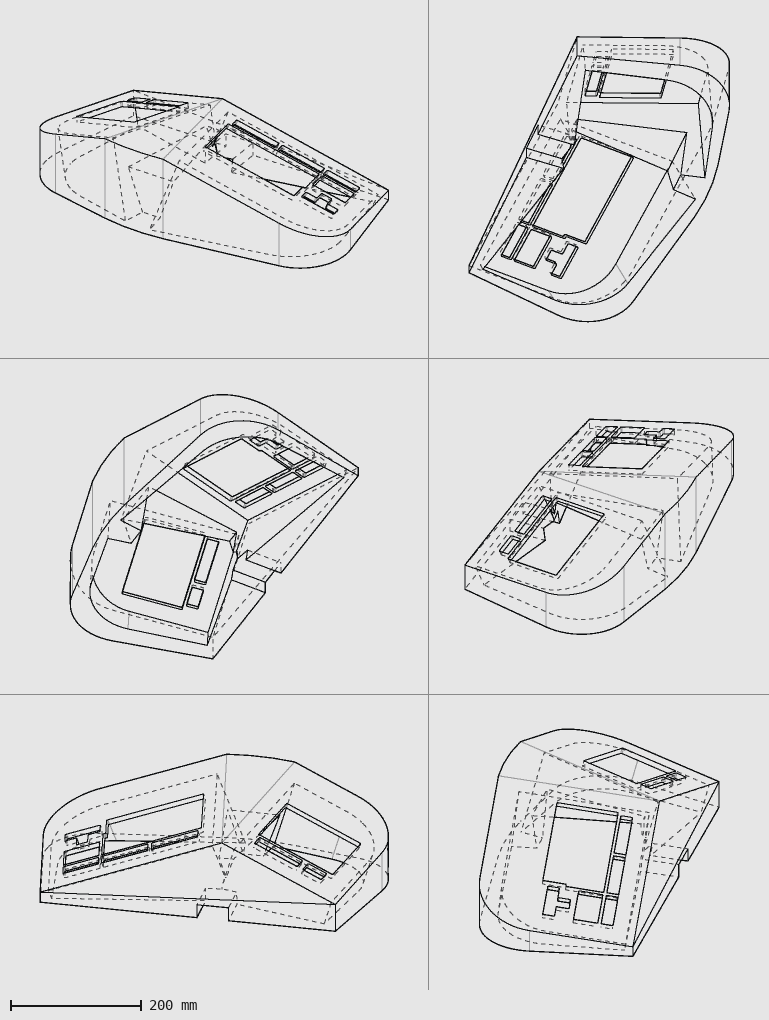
import cadquery as cq
import math


peak_height = 111.5
left_back_edge = cq.Vector(-188.0, 35.5, -66.0)
right_back_edge = cq.Vector(275.5, 46.0, -94.5)
left_facet_edge = cq.Vector(-55.0, -241.0, 30.5)
right_facet_edge = cq.Vector(52.5, -242.0, 30.5)
front_bulge = 246.0
panel_corner_radius = 89.0

panel_thickness = 8.5
wall = 10.0
right_back_wall = 12.5
cavity_depth = 215.0
cavity_side = 19.0
cavity_front = 215.0
cavity_corner_radius = panel_corner_radius - wall
window_corner_radius = 3.4 / 2

passage_width = 107.5
passage_height = 72.5
passage_back = -27.0
passage_front = -193.5
cable_notch_width = 49.5
cable_notch_offset = 5.5
cable_notch_height = 22.0

button_row = (36.0, 54.0)
left_windows = [
    ((34.5, 166.5), (59.0, 154.5)),
    ((39.0, 115.5), button_row),
    ((125.0, 158.5), button_row),
]
right_windows = [
    ((41.0, 116.0), button_row),
    ((122.0, 196.5), button_row),
    ((202.0, 259.5), button_row),
    ((202.0, 259.5), (59.5, 97.0)),
]
right_screen = ((35.5, 193.0), (59.0, 154.0))
screen_step = ((161.0, 197.0), (59.0, 117.5))
tee_bar = ((202.5, 259.5), (127.0, 145.0))
tee_stem = ((222.0, 240.0), (107.0, 134.0))

QUARTER_ARC_HANDLE = 4 / 3 * (math.sqrt(2) - 1)

body_top = 215.0
cutter_margin = 2.5
cut_reach = 805.5

peak = cq.Vector(0, 0, peak_height)
left_back = peak + left_back_edge
right_back = peak + right_back_edge
left_facet = peak + left_facet_edge
right_facet = peak + right_facet_edge


def plan(point):
    return (point.x, point.y)


def roof_cut(first_edge, second_edge):
    """Everything above the plane that holds the peak and two edges leaving it."""
    normal = first_edge.cross(second_edge)
    if normal.z < 0:
        normal = normal * -1
    plane = cq.Plane(origin=peak.toTuple(), xDir=first_edge.toTuple(), normal=normal.toTuple())
    return cq.Workplane(plane).rect(2 * cut_reach, 2 * cut_reach).extrude(cut_reach)


def corner_curve(back, facet_edge, back_edge):
    """Plan control points of a panel's rounded corner, from its side to its front edge."""
    corner = back + facet_edge
    along_side = facet_edge.normalized() * -panel_corner_radius
    along_front = back_edge.normalized() * -panel_corner_radius
    return [
        plan(corner + along_side),
        plan(corner + along_side * (1 - QUARTER_ARC_HANDLE)),
        plan(corner + along_front * (1 - QUARTER_ARC_HANDLE)),
        plan(corner + along_front),
    ]


def make_body():
    left_corner = corner_curve(left_back, left_facet_edge, left_back_edge)
    right_corner = corner_curve(right_back, right_facet_edge, right_back_edge)
    blank = (
        cq.Workplane("XY")
        .moveTo(*plan(left_back))
        .lineTo(*left_corner[0])
        .bezier(left_corner[1:], includeCurrent=True)
        .lineTo(*plan(left_facet))
        .threePointArc((0, -front_bulge), plan(right_facet))
        .lineTo(*right_corner[-1])
        .bezier(right_corner[-2::-1], includeCurrent=True)
        .lineTo(*plan(right_back))
        .close()
        .extrude(body_top)
    )
    for edges in (
        (left_back_edge, left_facet_edge),
        (right_back_edge, right_facet_edge),
        (left_facet_edge, right_facet_edge),
        (left_back_edge, right_back_edge),
    ):
        blank = blank.cut(roof_cut(*edges))
    return blank


class Panel:
    """Local frame of a sloping panel: u runs outward from the peak, v forward from the back edge."""

    def __init__(self, back_edge, facet_edge, outward):
        self.outward = outward
        self.length = back_edge.Length
        x_axis = back_edge * outward
        normal = x_axis.cross(facet_edge * -1)
        self.plane = cq.Plane(origin=peak.toTuple(), xDir=x_axis.toTuple(), normal=normal.toTuple())

    def block(self, u_range, v_range, top, bottom):
        """Block square to the panel, between two depths below its surface."""
        u0, u1 = u_range
        v0, v1 = v_range
        return (
            cq.Workplane(self.plane)
            .workplane(offset=-bottom)
            .center(self.outward * (u0 + u1) / 2, -(v0 + v1) / 2)
            .rect(u1 - u0, v1 - v0)
            .extrude(bottom - top)
        )

    def opening(self, *ranges):
        """Window through the panel, from overlapping rectangles with rounded corners."""
        window_depth = panel_thickness + cutter_margin
        cutter = self.block(*ranges[0], -cutter_margin, window_depth)
        for u_range, v_range in ranges[1:]:
            cutter = cutter.union(self.block(u_range, v_range, -cutter_margin, window_depth))
        uprights = cq.selectors.ParallelDirSelector(self.plane.zDir)
        return cutter.edges(uprights).fillet(window_corner_radius)

    def cavity(self, back_wall):
        """Hollow below the panel, open at the underside, its outer front corner rounded."""
        u_end = self.length - wall
        hollow = self.block((cavity_side, u_end), (back_wall, cavity_front), panel_thickness, cavity_depth)
        corner = self.plane.toWorldCoords((self.outward * u_end, -cavity_front, -cavity_depth / 2))
        upright = cq.selectors.NearestToPointSelector(corner.toTuple())
        return hollow.edges(upright).fillet(cavity_corner_radius)


left_panel = Panel(left_back_edge, left_facet_edge, -1)
right_panel = Panel(right_back_edge, right_facet_edge, 1)

back_line = right_back - left_back
back_angle = math.degrees(math.atan2(back_line.y, back_line.x))


def tunnel(width, height, y_start, y_end, x_middle=0):
    """Box standing on the underside, turned square to the back face."""
    box = cq.Workplane("XY").box(width, y_end - y_start, height, centered=(True, False, False))
    return box.translate((x_middle, y_start, 0)).rotate((0, 0, 0), (0, 0, 1), back_angle)


result = make_body()
result = result.cut(left_panel.cavity(wall)).cut(right_panel.cavity(right_back_wall))
passage = tunnel(passage_width, passage_height, passage_front, passage_back)
cable_notch = tunnel(cable_notch_width, cable_notch_height, passage_front, cut_reach, cable_notch_offset)
result = result.cut(passage).cut(cable_notch)

for window in left_windows:
    result = result.cut(left_panel.opening(window))
for window in right_windows:
    result = result.cut(right_panel.opening(window))
result = result.cut(right_panel.opening(right_screen, screen_step))
result = result.cut(right_panel.opening(tee_bar, tee_stem))